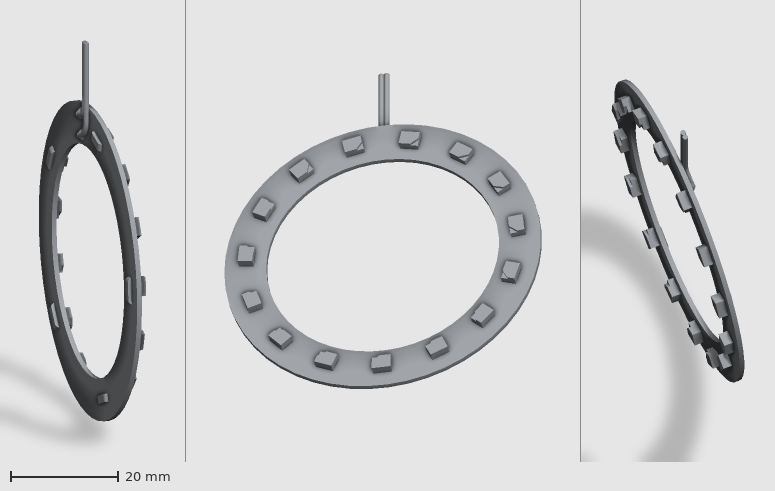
import cadquery as cq
import math

board_diameter = 59.95
board_radius = board_diameter / 2
board_bore_radius = 22.0
board_thickness = 0.95

led_count = 15
led_start_angle = -90
led_orbit_radius = 25.7
led_length = 3.55
led_width = 2.75
led_height = 1.75
led_notch_leg = 1.4
led_notch_depth = 0.5

chip_count = 5
chip_start_angle = 4.4
chip_orbit_radius = 25.9
chip_length = 5.0
chip_width = 1.5
chip_height = 0.65
chip_end_run = 0.9

overall_height = 72.7
wire_top_z = overall_height - board_radius
wire_radius = 0.5
wire_offset_x = 0.5
wire_axis_y = -0.49
solder_radius = 1.2
solder_height = 1.0
solder_tip_radius = 0.3
lead_end_slope = 0.3

leads = [
    (-wire_offset_x, [(-1.45, 28.3), (-4.0, 27.55)]),
    (wire_offset_x, [(wire_offset_x, 28.05), (0.2, 26.15), (-0.65, 24.9), (-3.3, 23.6)]),
]


def make_board():
    return (
        cq.Workplane("XZ")
        .circle(board_radius)
        .circle(board_bore_radius)
        .extrude(-board_thickness)
    )


def place_on_ring(shape, orbit_radius, angle):
    """Move a part built at the origin, with +X outward and +Z along the ring, to its place."""
    return shape.translate((orbit_radius, 0, 0)).rotate((0, 0, 0), (0, -1, 0), angle)


def make_led():
    led_top_y = board_thickness + led_height
    body = (
        cq.Workplane("XZ", origin=(0, board_thickness, 0))
        .rect(led_width, led_length)
        .extrude(-led_height)
    )
    corner_x = -led_width / 2
    corner_z = led_length / 2
    notch = (
        cq.Workplane("XZ", origin=(0, led_top_y, 0))
        .moveTo(corner_x, corner_z)
        .lineTo(corner_x + led_notch_leg, corner_z)
        .lineTo(corner_x, corner_z - led_notch_leg)
        .close()
        .extrude(led_notch_depth)
    )
    return body.cut(notch)


def make_chip():
    """Low block on the front face whose two ends round down to the board."""
    end_z = chip_length / 2
    flat_z = end_z - chip_end_run
    bulge = math.cos(math.radians(45))
    mid_z = flat_z + chip_end_run * bulge
    mid_y = -chip_height * bulge
    return (
        cq.Workplane("YZ", origin=(-chip_width / 2, 0, 0))
        .moveTo(0, -end_z)
        .threePointArc((mid_y, -mid_z), (-chip_height, -flat_z))
        .lineTo(-chip_height, flat_z)
        .threePointArc((mid_y, mid_z), (0, end_z))
        .close()
        .extrude(chip_width)
    )


def make_lead(wire_x, lead_points):
    """Round lead that runs down from the board's top edge and curves to its solder point."""
    path = cq.Workplane("XZ", origin=(0, wire_axis_y, 0)).spline(
        [(wire_x, board_radius), *lead_points],
        tangents=[(0, -1), (-1, -lead_end_slope)],
    )
    return (
        cq.Workplane("XY", origin=(wire_x, wire_axis_y, board_radius))
        .circle(wire_radius)
        .sweep(path)
    )


def make_solder_cone(solder_point):
    solder_x, solder_z = solder_point
    cone = cq.Solid.makeCone(
        solder_radius,
        solder_tip_radius,
        solder_height,
        pnt=cq.Vector(solder_x, 0, solder_z),
        dir=cq.Vector(0, -1, 0),
    )
    return cq.Workplane(cone)


def make_wire(wire_x):
    return (
        cq.Workplane("XY", origin=(wire_x, wire_axis_y, board_radius))
        .circle(wire_radius)
        .extrude(wire_top_z - board_radius)
    )


board = make_board()
for index in range(led_count):
    led_angle = led_start_angle + index * 360 / led_count
    board = board.union(place_on_ring(make_led(), led_orbit_radius, led_angle))
for index in range(chip_count):
    chip_angle = chip_start_angle + index * 360 / chip_count
    board = board.union(place_on_ring(make_chip(), chip_orbit_radius, chip_angle))
for wire_x, lead_points in leads:
    solder_cone = make_solder_cone(lead_points[-1])
    soldered_lead = make_lead(wire_x, lead_points).union(solder_cone)
    board = board.union(soldered_lead)

wires = [make_wire(wire_x) for wire_x, _ in leads]

result = cq.Compound.makeCompound([board.val(), *[wire.val() for wire in wires]])